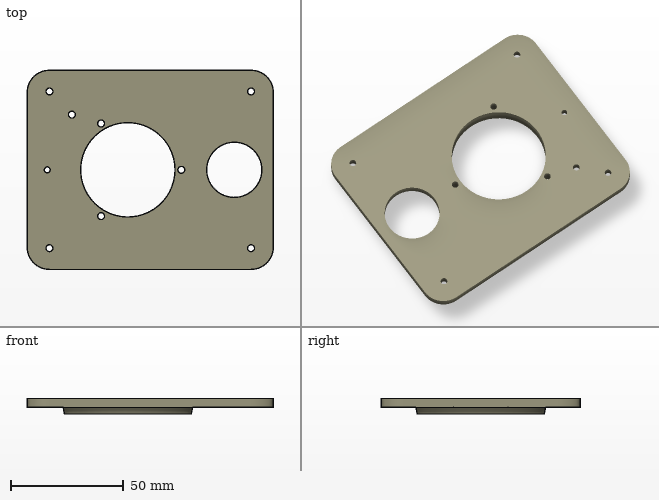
import cadquery as cq
import math

plate_length = 110.0
plate_width = 89.0
plate_thickness = 4.0
corner_radius = 10.0

boss_height = 3.1
boss_top_diameter = 58.0
boss_bottom_diameter = 56.8

main_center_x = -10.0
main_diameter = 42.0
side_center_x = 37.5
side_diameter = 24.5

screw_diameter = 3.0
corner_hole_x = 45.0
corner_hole_y = 35.0
flange_hole_radius = 23.9
flange_hole_count = 3
locating_hole_x = -46.0
locating_hole_diameter = 2.5
extra_hole_center = (-35.0, 24.6)


def drill(body, centers, diameter):
    """Cut vertical holes through the full height at the given centers."""
    cutters = (
        cq.Workplane("XY")
        .workplane(offset=-boss_height)
        .pushPoints(centers)
        .circle(diameter / 2)
        .extrude(boss_height + plate_thickness)
    )
    return body.cut(cutters)


plate = (
    cq.Workplane("XY")
    .box(plate_length, plate_width, plate_thickness, centered=(True, True, False))
    .edges("|Z")
    .fillet(corner_radius)
)

boss = (
    cq.Workplane("XY")
    .center(main_center_x, 0)
    .circle(boss_top_diameter / 2)
    .workplane(offset=-boss_height)
    .circle(boss_bottom_diameter / 2)
    .loft(ruled=True)
)
body = plate.union(boss)

body = drill(body, [(main_center_x, 0)], main_diameter)
body = drill(body, [(side_center_x, 0)], side_diameter)

corner_centers = [(x, y) for x in (-corner_hole_x, corner_hole_x) for y in (-corner_hole_y, corner_hole_y)]
body = drill(body, corner_centers, screw_diameter)

flange_angles = [2 * math.pi * i / flange_hole_count for i in range(flange_hole_count)]
flange_centers = [
    (main_center_x + flange_hole_radius * math.cos(angle), flange_hole_radius * math.sin(angle))
    for angle in flange_angles
]
body = drill(body, flange_centers, screw_diameter)

body = drill(body, [extra_hole_center], screw_diameter)
body = drill(body, [(locating_hole_x, 0)], locating_hole_diameter)

result = body